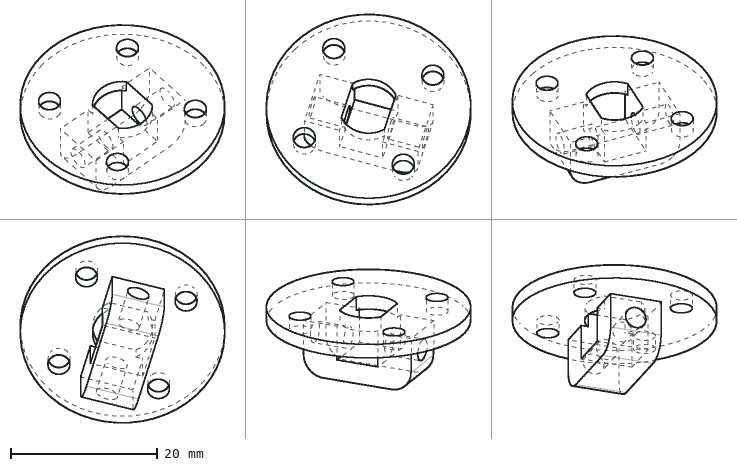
import cadquery as cq

plate_diameter = 28.0
plate_thickness = 2.0
total_height = 10.0
plate_bottom = total_height - plate_thickness

screw_hole_diameter = 3.0
screw_circle_radius = 10.0
screw_count = 4
first_screw_angle = 45

opening_diameter = 8.2
flat_spacing = 6.15

bracket_width = 7.4
bracket_length = 16.18
bracket_floor = 3.0
bracket_corner_radius = bracket_floor
slot_height = plate_bottom - bracket_floor

cross_hole_diameter = 3.0
cross_hole_drop = 3.0
cross_hole_height = plate_bottom - cross_hole_drop


def make_plate():
    plate = (
        cq.Workplane("XY")
        .workplane(offset=plate_bottom)
        .circle(plate_diameter / 2)
        .extrude(plate_thickness)
    )
    screw_holes = (
        cq.Workplane("XY")
        .workplane(offset=plate_bottom)
        .polarArray(screw_circle_radius, first_screw_angle, 360, screw_count)
        .circle(screw_hole_diameter / 2)
        .extrude(plate_thickness)
    )
    opening_round = (
        cq.Workplane("XY")
        .workplane(offset=plate_bottom)
        .circle(opening_diameter / 2)
        .extrude(plate_thickness)
    )
    opening_flats = cq.Workplane("XY").box(
        opening_diameter, flat_spacing, total_height, centered=(True, True, False)
    )
    return plate.cut(screw_holes).cut(opening_round.intersect(opening_flats))


def make_bracket():
    bracket = (
        cq.Workplane("XY")
        .box(bracket_width, bracket_length, plate_bottom, centered=(True, True, False))
        .edges("|X and <Z")
        .fillet(bracket_corner_radius)
    )
    slot = (
        cq.Workplane("XY")
        .workplane(offset=bracket_floor)
        .rect(bracket_width, flat_spacing)
        .extrude(slot_height)
    )
    cross_hole = (
        cq.Workplane("XZ")
        .center(0, cross_hole_height)
        .circle(cross_hole_diameter / 2)
        .extrude(bracket_length / 2, both=True)
    )
    return bracket.cut(slot).cut(cross_hole)


result = make_plate().union(make_bracket())